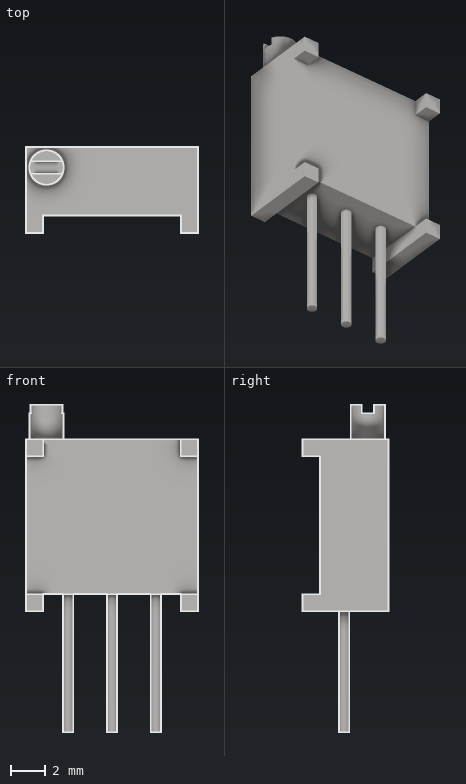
import cadquery as cq

total_height = 19.0
body_width = 10.0
body_depth = 5.0
body_height = body_width

foot_size = 1.0

screw_diameter = 2.0
screw_height = 2.0
screw_inset = 1.2
slot_width = 0.7
slot_depth = 0.5

pin_diameter = 0.6
pin_spacing = 2.55
pin_from_back = 2.58
pin_count = 3

back_y = body_depth / 2
front_y = -body_depth / 2
left_x = -body_width / 2
inner_width = body_width - 2 * foot_size
inner_height = body_height - 2 * foot_size
pin_drop = total_height - body_height - screw_height


def make_body():
    """Block with a cross-shaped front recess that leaves four corner feet."""
    block = cq.Workplane("XY").box(body_width, body_depth, body_height, centered=(True, True, False))
    front_center = (0, front_y + foot_size / 2, body_height / 2)
    upright_recess = cq.Workplane("XY").box(inner_width, foot_size, body_height).translate(front_center)
    level_recess = cq.Workplane("XY").box(body_width, foot_size, inner_height).translate(front_center)
    bottom_channel = (
        cq.Workplane("XY")
        .box(inner_width, body_depth, foot_size, centered=(True, True, False))
    )
    return block.cut(upright_recess).cut(level_recess).cut(bottom_channel)


def make_screw():
    """Round screw head with a slot along X across its top."""
    head = cq.Workplane("XY").circle(screw_diameter / 2).extrude(screw_height)
    slot = (
        cq.Workplane("XY")
        .workplane(offset=screw_height - slot_depth)
        .rect(screw_diameter, slot_width)
        .extrude(slot_depth)
    )
    return head.cut(slot).translate((left_x + screw_inset, back_y - screw_inset, body_height))


def make_pins():
    """Row of straight pins hanging from the roof of the bottom channel."""
    return (
        cq.Workplane("XY")
        .workplane(offset=-pin_drop)
        .center(0, back_y - pin_from_back)
        .rarray(pin_spacing, 0.19, pin_count, 1)
        .circle(pin_diameter / 2)
        .extrude(pin_drop + foot_size)
    )


result = make_body().union(make_screw()).union(make_pins())